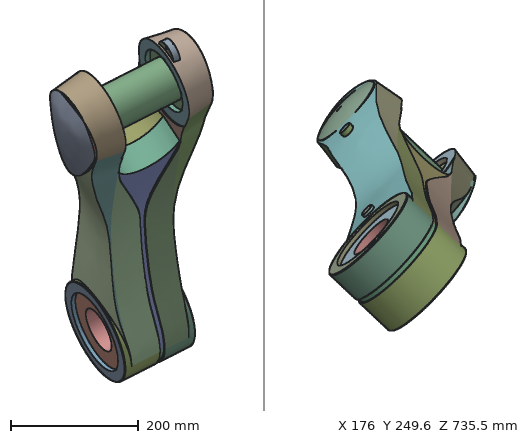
import cadquery as cq
import math


overall_height = 735.5

hub_radius = 176.0 / 2
hub_front = -70.0
hub_back = 62.0
hub_edge_chamfer = 1.5
bore_radius = 37.5
hub_recess_radius = 136.0 / 2
hub_recess_depth = 7.0

head_z = 560.0
head_radius = 73.5
pin_radius = bore_radius
fork_half_gap = 57.5
spotface_half_gap = 59.0
spotface_radius = 79.0
pin_recess_radius = 54.5
pin_recess_depth = 9.0
draft_angle = 8.6
draft_start = spotface_half_gap
block_depth = 132.5
block_half_width = 95.5

left_edge = [(-70.5, 515.0), (-65.5, 449.0), (-63.0, 338.0), (-68.0, 213.0), (-78.0, 107.0)]
right_edge = [(81.0, 41.0), (62.5, 82.5), (42.0, 158.0), (30.0, 279.5), (37.0, 371.5), (51.5, 465.0)]
right_turn = math.radians(18)
head_arc_tangent = (math.sin(right_turn), math.cos(right_turn))

arm_station_step = 66.0
spread_face = [73.0, 91.0, 106.0, 113.0, 115.0, 115.0]
front_face = [69.0, 68.5, 66.0, 63.0, 63.0] + spread_face
back_face = [61.0, 60.0, 59.0, 57.5, 59.5] + spread_face
arm_crown_radius = 331.0

groove_half_width = 4.5
web_inset = 3.0
valley_edge = [(12.0, 320.0), (30.0, 373.0), (50.0, 426.0), (fork_half_gap, 471.0)]
valley_start_z = 265.0
saddle_mid_z = 441.0
saddle_mid_rise = 29.0
saddle_end_z = 411.0
saddle_end_rise = 42.0
saddle_end_x = 73.5

cap_radius = 65.5
cap_tail = [(-62.5, 500.0), (-51.5, 465.0), (-17.0, 440.0), (26.0, 465.5), (49.0, 506.0)]
cap_bottom_z = 426.5
cap_station_step = 29.5
cap_face = [109.5, 117.0, 122.0, 126.0, 128.0, 129.0, 123.0, 110.0]
cap_crown_radius = 132.5

lens_radius = 62.5
lens_edge = 110.0
lens_top = 120.5

tab_radius = 22.0
tab_top = overall_height - hub_radius
tab_back = 75.0
tab_thickness = 12.0
tab_hole_radius = 2.0
tab_hole_drop = 5.5
tab_hole_z = tab_top - tab_hole_drop
bolt_radius = 11.0
embed = 22.0
bolts = [(125.0, 64.0), (460.0, 112.5)]


def cylinder_y(radius, z, y_from, y_to):
    """Cylinder along Y at X = 0."""
    start = cq.Vector(0, y_from, z)
    return cq.Workplane(cq.Solid.makeCylinder(radius, y_to - y_from, start, cq.Vector(0, 1, 0)))


def head_arc_end(radius):
    """Point where the head arc of the given radius ends on the right."""
    return (radius * math.cos(right_turn), head_z - radius * math.sin(right_turn))


def link_outline(y, inset=0.0):
    """Closed front outline of the whole link on the plane at the given Y, narrowed by inset all round."""
    head = head_radius - inset
    foot = hub_radius - inset
    left = [(x + inset, z) for x, z in left_edge]
    right = [(x - inset, z) for x, z in right_edge]
    return (
        cq.Workplane("XZ", origin=(0, y, 0))
        .moveTo(*head_arc_end(head))
        .threePointArc((0, head_z + head), (-head, head_z))
        .spline(left + [(-foot, 0)], tangents=[(0, -1), (0, -1)], includeCurrent=True)
        .threePointArc((0, -foot), (foot, 0))
        .spline(right + [head_arc_end(head)], tangents=[(0, 1), head_arc_tangent], includeCurrent=True)
        .close()
    )


def crowned_block(face, bottom_z, step, crown_radius, side):
    """Block from Y = 0 out to a face that follows evenly stepped stations and is crowned across X."""
    drop = crown_radius - math.sqrt(crown_radius ** 2 - block_half_width ** 2)
    near_x = side * block_half_width
    sections = []
    for i, y in enumerate(face):
        edge_y = side * (y - drop)
        section = (
            cq.Workplane("XY", origin=(0, 0, bottom_z + i * step))
            .moveTo(-near_x, 0)
            .lineTo(near_x, 0)
            .lineTo(near_x, edge_y)
            .threePointArc((0, side * y), (-near_x, edge_y))
            .close()
        )
        sections.append(section.val())
    return cq.Workplane(cq.Solid.makeLoft(sections))


def arm(side, face):
    """One arm: straight sides up to the draft start, drafted sides outside it."""
    straight = link_outline(max(side, 0) * draft_start).extrude(draft_start)
    draft_inset = (block_depth - draft_start) * math.tan(math.radians(draft_angle))
    wide = link_outline(side * draft_start).val()
    narrow = link_outline(side * block_depth, draft_inset).val()
    drafted = cq.Workplane(cq.Solid.makeLoft([wide, narrow], True))
    return straight.union(drafted).intersect(crowned_block(face, 0, arm_station_step, arm_crown_radius, side))


def hub():
    blank = cylinder_y(hub_radius, 0, hub_front, hub_back)
    return blank.faces("<Y or >Y").edges().chamfer(hub_edge_chamfer)


def valley():
    """Groove and widening valley between the arms, sunk a little below both edges of the link."""
    right_side = [(groove_half_width, valley_start_z)] + valley_edge
    left_side = [(-y, z) for y, z in reversed(right_side)]
    bottom_z = -2 * hub_radius
    shape = (
        cq.Workplane("YZ", origin=(-block_half_width, 0, 0))
        .moveTo(-groove_half_width, bottom_z)
        .lineTo(groove_half_width, bottom_z)
        .lineTo(*right_side[0])
        .spline(right_side[1:], tangents=[(0, 1), (0, 1)], includeCurrent=True)
        .lineTo(*left_side[0])
        .spline(left_side[1:], tangents=[(0, -1), (0, -1)], includeCurrent=True)
        .close()
        .extrude(2 * block_half_width)
    )
    core = link_outline(block_depth, web_inset).extrude(2 * block_depth)
    return shape.cut(core)


def fork_section(x, bottom_z, rise):
    top_z = head_z + 2 * head_radius
    return (
        cq.Workplane("YZ", origin=(x, 0, 0))
        .moveTo(-fork_half_gap, top_z)
        .lineTo(-fork_half_gap, bottom_z + rise)
        .threePointArc((0, bottom_z), (fork_half_gap, bottom_z + rise))
        .lineTo(fork_half_gap, top_z)
        .close()
        .val()
    )


def fork_gap():
    """Gap between the fork heads, with a saddle floor that falls away to both edges."""
    middle = fork_section(0, saddle_mid_z, saddle_mid_rise)
    gap = cylinder_y(spotface_radius, head_z, -spotface_half_gap, spotface_half_gap)
    for x in (-saddle_end_x, saddle_end_x):
        end = fork_section(x, saddle_end_z, saddle_end_rise)
        gap = gap.union(cq.Workplane(cq.Solid.makeLoft([middle, end], True)))
    recess_end = spotface_half_gap + pin_recess_depth
    return gap.union(cylinder_y(pin_recess_radius, head_z, -recess_end, recess_end))


def front_cap():
    tail = cap_tail + [head_arc_end(cap_radius)]
    teardrop = (
        cq.Workplane("XZ", origin=(0, -spotface_half_gap - embed, 0))
        .moveTo(*head_arc_end(cap_radius))
        .threePointArc((0, head_z + cap_radius), (-cap_radius, head_z))
        .spline(tail, tangents=[(0, -1), head_arc_tangent], includeCurrent=True)
        .close()
        .extrude(block_depth)
    )
    dome = crowned_block(cap_face, cap_bottom_z, cap_station_step, cap_crown_radius, -1)
    return teardrop.intersect(dome)


def back_cap():
    dome_height = lens_top - lens_edge
    seat = lens_edge - embed
    profile = (
        cq.Workplane("XY")
        .moveTo(0, seat)
        .lineTo(lens_radius, seat)
        .lineTo(lens_radius, lens_edge)
        .threePointArc((lens_radius / 2, lens_edge + dome_height * 3 / 4), (0, lens_top))
        .close()
    )
    return profile.revolve(360, (0, 0, 0), (0, 1, 0)).translate((0, 0, head_z))


def lifting_tab():
    tab_front = tab_back - tab_thickness
    disc = cylinder_y(tab_radius, tab_top - tab_radius, tab_front, tab_back)
    return disc.cut(cylinder_y(tab_hole_radius, tab_hole_z, tab_front, tab_back))


link = arm(-1, front_face).union(arm(1, back_face)).union(hub())
link = link.cut(valley())

link = link.union(front_cap()).union(back_cap()).union(lifting_tab())
for bolt_z, bolt_end in bolts:
    link = link.union(cylinder_y(bolt_radius, bolt_z, bolt_end - embed, bolt_end))

link = link.cut(fork_gap())
pin_end = spotface_half_gap + embed
link = link.union(cylinder_y(pin_radius, head_z, -pin_end, pin_end))

link = link.cut(cylinder_y(bore_radius, 0, hub_front, hub_back))
link = link.cut(cylinder_y(hub_recess_radius, 0, hub_front, hub_front + hub_recess_depth))
link = link.cut(cylinder_y(hub_recess_radius, 0, hub_back - hub_recess_depth, hub_back))

result = link